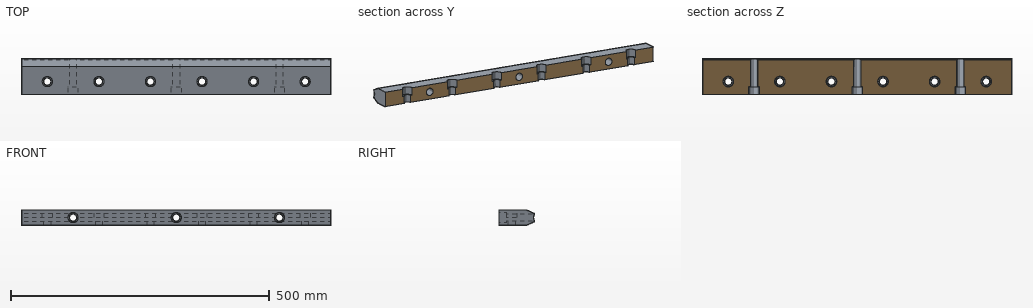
import cadquery as cq

length = 599.5
width = 69.5
thickness = 30.0

nose_length = 15.5
tip_height = 15.5
groove_depth = 2.5

hole_diameter = 14.0
counterbore_diameter = 20.0
counterbore_depth = 15.0
top_hole_count = 6
edge_hole_count = 3
top_hole_offset = 25.0

flat_edge_y = -width / 2
tip_y = width / 2
shoulder_y = tip_y - nose_length


def make_bar():
    """Extrude the nosed cross-section along the full length."""
    half_thickness = thickness / 2
    half_tip = tip_height / 2
    return (
        cq.Workplane("YZ", origin=(-length / 2, 0, 0))
        .moveTo(flat_edge_y, -half_thickness)
        .lineTo(shoulder_y, -half_thickness)
        .lineTo(tip_y, -half_tip)
        .lineTo(tip_y - groove_depth, 0)
        .lineTo(tip_y, half_tip)
        .lineTo(shoulder_y, half_thickness)
        .lineTo(flat_edge_y, half_thickness)
        .close()
        .extrude(length)
    )


def row_positions(count, y):
    """Space holes evenly along the bar, with half a pitch at each end."""
    pitch = length / count
    return [(-length / 2 + pitch * (i + 0.5), y) for i in range(count)]


def drill_row(bar, plane, positions):
    """Drill counterbored through holes down from the face on the plane."""
    return (
        bar.copyWorkplane(plane)
        .pushPoints(positions)
        .cboreHole(hole_diameter, counterbore_diameter, counterbore_depth)
    )


top_plane = cq.Workplane("XY", origin=(0, 0, thickness / 2))
edge_plane = cq.Workplane("XZ", origin=(0, flat_edge_y, 0))

result = make_bar()
result = drill_row(result, top_plane, row_positions(top_hole_count, flat_edge_y + top_hole_offset))
result = drill_row(result, edge_plane, row_positions(edge_hole_count, 0))